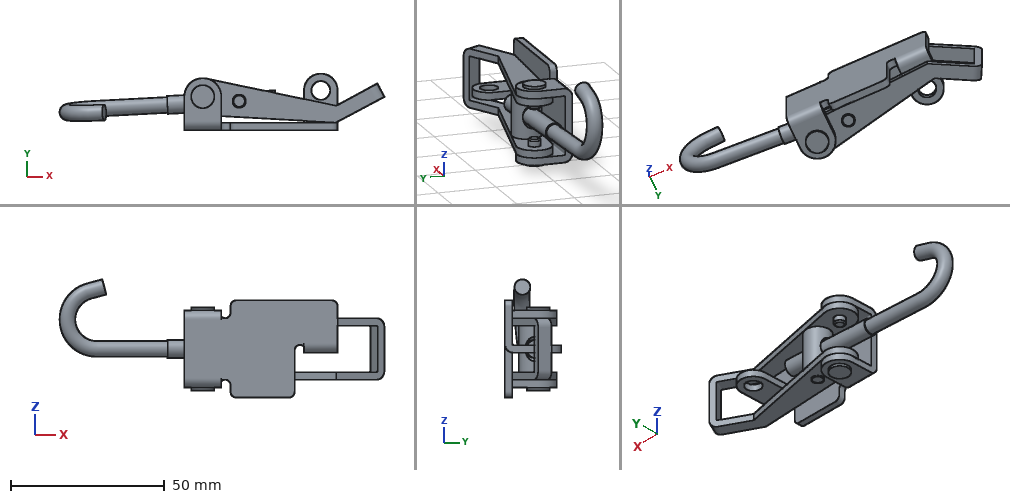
import cadquery as cq
import math


overall_length = 105.9

sheet = 2.5
bend_radius = 3.0
inner_bend_radius = bend_radius - sheet

ear_radius = 6.0
lever_half_width = 10.1
ear_outer = lever_half_width + sheet
base_bottom = -11.0
base_top = base_bottom + sheet
base_right = 43.9
base_half_height = 15.9
base_corner_radius = 2.0
relief_gap = 3.0
relief_radius = 1.7
eye_radius = 5.5
eye_hole_diameter = 6.0
eye_top = 7.5
eye_x = base_right - eye_radius
eye_y = eye_top - eye_radius
step_left = ear_radius + relief_gap
step_right = base_right - 2 * eye_radius - relief_gap

shank_diameter = 4.1
rivet_head_diameter = 7.5
rivet_head_height = 1.0
rivet_tail = 2.4
rivet_chamfer = 0.5

arm_inner = lever_half_width - sheet
handle_angle = 28.0
handle_depth = 5.0
lever_right = 59.2
elbow_bottom = (43.4, base_top)
elbow_top = (43.4, -3.0)

barrel_x = 11.9
barrel_y = -1.5
barrel_diameter = 10.0
trunnion_diameter = 4.3
trunnion_chamfer = 0.3
rod_mouth_diameter = 7.9

rod_pitch = 3.0
hook_roll = 4.0
thread_diameter = 5.9
rod_diameter = 5.2
thread_front = -23.4
thread_back = 11.9
hook_radius = 9.6
hook_sweep = 165.0
hook_tip = 5.0
hook_left = lever_right - overall_length
hook_axis_left = hook_left + rod_diameter / 2
hook_start = (hook_axis_left - barrel_x) / math.cos(math.radians(rod_pitch)) + hook_radius


def z_cylinder(x, y, diameter, z_low, z_high):
    return (
        cq.Workplane("XY", origin=(x, y, z_low))
        .circle(diameter / 2)
        .extrude(z_high - z_low)
    )


def make_flange(x, y, radius, hole_diameter, outer_z, side):
    """Round-ended wall bent up from the base; side is the Z direction its outer face looks."""
    inner_z = outer_z - side * sheet
    bend_z = outer_z - side * bend_radius
    bend_y = base_bottom + bend_radius
    diagonal = math.sqrt(0.5)
    top = y + radius
    wall = (
        cq.Workplane("YZ", origin=(x - radius, 0, 0))
        .moveTo(base_bottom, bend_z)
        .threePointArc(
            (bend_y - bend_radius * diagonal, bend_z + side * bend_radius * diagonal),
            (bend_y, outer_z),
        )
        .lineTo(top, outer_z)
        .lineTo(top, inner_z)
        .lineTo(bend_y, inner_z)
        .threePointArc(
            (bend_y - inner_bend_radius * diagonal, bend_z + side * inner_bend_radius * diagonal),
            (base_top, bend_z),
        )
        .close()
        .extrude(2 * radius)
    )
    outline = (
        cq.Workplane("XY", origin=(0, 0, -base_half_height))
        .moveTo(x - radius, base_bottom)
        .lineTo(x + radius, base_bottom)
        .lineTo(x + radius, y)
        .threePointArc((x, top), (x - radius, y))
        .close()
        .extrude(2 * base_half_height)
    )
    hole = z_cylinder(x, y, hole_diameter, -base_half_height, base_half_height)
    return wall.intersect(outline).cut(hole)


def make_base():
    """Flat plate with round reliefs beside the flanges."""
    ear_bend = ear_outer - bend_radius
    eye_bend = bend_radius - sheet / 2
    relief_offset = relief_gap - relief_radius
    relief_rise = math.sqrt(relief_radius**2 - relief_offset**2)
    ear_relief = lever_half_width + relief_radius
    eye_relief = sheet / 2 - relief_radius
    eye_left = base_right - 2 * eye_radius
    plate = (
        cq.Workplane("XZ", origin=(0, base_top, 0))
        .moveTo(-ear_radius, ear_bend)
        .lineTo(ear_radius, ear_bend)
        .lineTo(ear_radius, ear_relief - relief_rise)
        .threePointArc((step_left - relief_radius, lever_half_width), (step_left, ear_relief))
        .lineTo(step_left, base_half_height)
        .lineTo(base_right, base_half_height)
        .lineTo(base_right, eye_bend)
        .lineTo(eye_left, eye_bend)
        .lineTo(eye_left, eye_relief + relief_rise)
        .threePointArc((step_right + relief_radius, sheet / 2), (step_right, eye_relief))
        .lineTo(step_right, -base_half_height)
        .lineTo(step_left, -base_half_height)
        .lineTo(step_left, -ear_relief)
        .threePointArc(
            (step_left - relief_radius, -lever_half_width),
            (ear_radius, relief_rise - ear_relief),
        )
        .lineTo(ear_radius, -ear_bend)
        .lineTo(-ear_radius, -ear_bend)
        .close()
        .extrude(sheet)
    )
    corners = plate.edges("|Y").edges(">Z or <Z")
    return corners.fillet(base_corner_radius)


def make_bracket():
    bracket = make_base()
    for side in (1, -1):
        ear = make_flange(0, 0, ear_radius, shank_diameter, side * ear_outer, side)
        bracket = bracket.union(ear)
    eye = make_flange(eye_x, eye_y, eye_radius, eye_hole_diameter, -sheet / 2, -1)
    return bracket.union(eye)


def tangent_point(corner, side):
    """Point where a line from the corner touches the pivot circle, above or below the axis."""
    distance = math.hypot(*corner)
    angle = math.atan2(corner[1], corner[0]) + side * math.acos(ear_radius / distance)
    return (ear_radius * math.cos(angle), ear_radius * math.sin(angle))


def make_lever():
    """Two arms joined by a crossbar at the end of the handle."""
    slope = math.radians(handle_angle)
    along = (math.cos(slope), math.sin(slope))
    tip_bottom = (lever_right, elbow_bottom[1] + (lever_right - elbow_bottom[0]) * math.tan(slope))
    tip_top = (
        tip_bottom[0] - handle_depth * along[1],
        tip_bottom[1] + handle_depth * along[0],
    )
    tip_plane = cq.Plane(origin=(*tip_bottom, 0), xDir=(*along, 0), normal=(0, 0, 1))
    body = (
        cq.Workplane("XY", origin=(0, 0, -lever_half_width))
        .moveTo(*tangent_point(elbow_top, 1))
        .threePointArc((-ear_radius, 0), tangent_point(elbow_bottom, -1))
        .lineTo(*elbow_bottom)
        .lineTo(*tip_bottom)
        .lineTo(*tip_top)
        .lineTo(*elbow_top)
        .close()
        .extrude(2 * lever_half_width)
    )
    end_face = cq.Vector(*along, 0)
    body = body.faces(cq.selectors.DirectionMinMaxSelector(end_face)).edges("not |Z")
    body = body.edges("<Z or >Z").fillet(bend_radius)

    reach = 2 * lever_right
    opening = (
        cq.Workplane(tip_plane)
        .center(-sheet - reach / 2, 0)
        .box(reach, reach, 2 * arm_inner)
        .faces(cq.selectors.DirectionMinMaxSelector(end_face))
        .edges("not |Z")
        .fillet(inner_bend_radius)
    )
    lever = body.cut(opening)
    for x, y, diameter in (
        (0, 0, shank_diameter),
        (barrel_x, barrel_y, trunnion_diameter),
    ):
        lever = lever.cut(z_cylinder(x, y, diameter, -lever_half_width, lever_half_width))
    return lever


def along_rod(shape):
    """Carry a shape built along X about the origin onto the rod's axis through the barrel."""
    tilted = shape.rotate((0, 0, 0), (0, 0, 1), rod_pitch)
    return tilted.translate((barrel_x, barrel_y, 0))


def make_barrel():
    """Cross pin between the arms, bored for the rod, with a trunnion in each arm."""
    drum = z_cylinder(barrel_x, barrel_y, barrel_diameter, -arm_inner, arm_inner)
    trunnions = (
        z_cylinder(barrel_x, barrel_y, trunnion_diameter, -lever_half_width, lever_half_width)
        .faces("<Z or >Z")
        .chamfer(trunnion_chamfer)
    )
    bore_radius = thread_diameter / 2
    mouth_radius = rod_mouth_diameter / 2
    mouth_end = barrel_diameter / 2
    mouth_start = mouth_end - (mouth_radius - bore_radius)
    bore = (
        cq.Workplane("XY")
        .moveTo(-mouth_end, 0)
        .lineTo(-mouth_end, mouth_radius)
        .lineTo(-mouth_start, bore_radius)
        .lineTo(mouth_start, bore_radius)
        .lineTo(mouth_end, mouth_radius)
        .lineTo(mouth_end, 0)
        .close()
        .revolve(360, (0, 0, 0), (1, 0, 0))
    )
    return drum.union(trunnions).cut(along_rod(bore))


def make_hook_rod():
    """Rod with a thicker threaded end and a hook bent up from the other end."""
    thread = (
        cq.Workplane("YZ", origin=(thread_front, 0, 0))
        .circle(thread_diameter / 2)
        .extrude(thread_back - thread_front)
    )
    half_sweep = math.radians(hook_sweep / 2)
    sweep = math.radians(hook_sweep)
    hook_middle = (
        hook_start - hook_radius * math.sin(half_sweep),
        hook_radius * (1 - math.cos(half_sweep)),
    )
    hook_end = (
        hook_start - hook_radius * math.sin(sweep),
        hook_radius * (1 - math.cos(sweep)),
    )
    tip = (
        hook_end[0] - hook_tip * math.cos(sweep),
        hook_end[1] + hook_tip * math.sin(sweep),
    )
    path = (
        cq.Workplane("XZ")
        .moveTo(thread_front, 0)
        .lineTo(hook_start, 0)
        .threePointArc(hook_middle, hook_end)
        .lineTo(*tip)
    )
    shank = (
        cq.Workplane("YZ", origin=(thread_front, 0, 0))
        .circle(rod_diameter / 2)
        .sweep(path)
    )
    rod = thread.union(shank)
    return along_rod(rod.rotate((0, 0, 0), (1, 0, 0), hook_roll))


def make_rivet(side):
    """Headed pin through one ear and one lever arm."""
    tail_z = arm_inner - rivet_tail
    shank = z_cylinder(0, 0, shank_diameter, tail_z, ear_outer).faces("<Z").chamfer(rivet_chamfer)
    head = z_cylinder(0, 0, rivet_head_diameter, ear_outer, ear_outer + rivet_head_height)
    rivet = shank.union(head)
    if side < 0:
        rivet = rivet.mirror("XY")
    return rivet


bracket = make_bracket()
lever = make_lever()
barrel = make_barrel()
hook_rod = make_hook_rod()
rivets = [make_rivet(side) for side in (1, -1)]

result = cq.Compound.makeCompound(
    [bracket.val(), lever.val(), barrel.val(), hook_rod.val(), *[rivet.val() for rivet in rivets]]
)